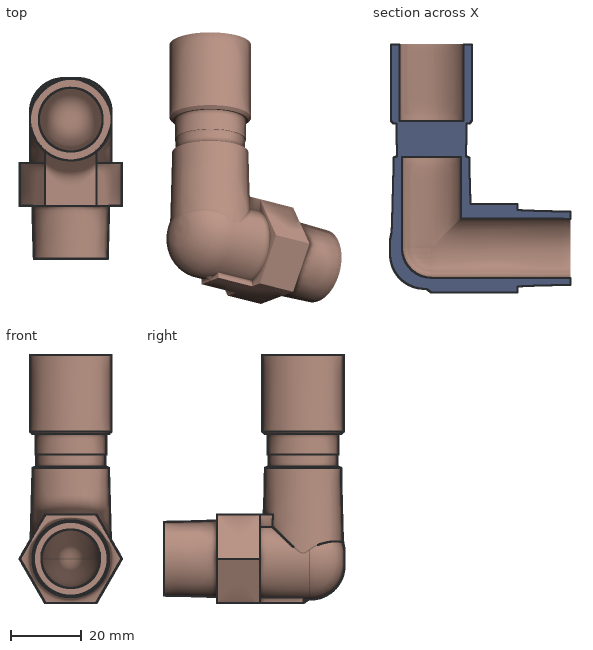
import cadquery as cq
import math

hex_corner_width = 28.85
hex_half_flats = hex_corner_width / 2 * math.cos(math.pi / 6)
hex_flat_width = hex_corner_width / 2
total_height = 70.0
total_depth = 51.0
top_z = total_height - hex_half_flats

collar_radius = 23.0 / 2
upper_neck_radius = 20.0 / 2
lower_neck_radius = 19.5 / 2
shoulder_radius = 10.8
leg_base_radius = 11.5
collar_length = 21.55
collar_bevel = 0.85
upper_neck_length = 5.75
lower_neck_length = 3.35
shoulder_slope_height = 0.4

collar_bottom_z = top_z - collar_length
bevel_bottom_z = collar_bottom_z - collar_bevel
neck_step_z = bevel_bottom_z - upper_neck_length
neck_bottom_z = neck_step_z - lower_neck_length
shoulder_z = neck_bottom_z - shoulder_slope_height

body_radius = 11.55
back_y = 11.75
dome_fillet = 9.95
front_y = back_y - total_depth
hex_back_y = -12.2
hex_length = 12.1
hex_front_y = hex_back_y - hex_length
stub_root_radius = 10.85
stub_tip_radius = 10.4

lower_pad_width = 7.55
lower_pad_back_y = 0.15
lower_nose_radius = 1.8
lower_nose_height = 1.3

socket_radius = 18.0 / 2
passage_radius = 16.5 / 2


def make_upright_leg():
    """Stepped collar, neck and slightly tapered leg, revolved about Z."""
    profile = [
        (0, top_z),
        (collar_radius, top_z),
        (collar_radius, collar_bottom_z),
        (collar_radius - collar_bevel, bevel_bottom_z),
        (upper_neck_radius, bevel_bottom_z),
        (upper_neck_radius, neck_step_z),
        (lower_neck_radius, neck_step_z),
        (lower_neck_radius, neck_bottom_z),
        (shoulder_radius, shoulder_z),
        (leg_base_radius, 0),
        (0, 0),
    ]
    return cq.Workplane("XZ").polyline(profile).close().revolve(360, (0, 0), (0, 1))


def make_body():
    """Horizontal barrel with a broadly rounded back end."""
    barrel = cq.Workplane("XZ", origin=(0, back_y, 0)).circle(body_radius).extrude(back_y - hex_back_y)
    return barrel.faces(">Y").edges().fillet(dome_fillet)


def make_hexagon():
    plane = cq.Workplane("XZ", origin=(0, hex_back_y, 0))
    return plane.polygon(6, hex_corner_width).extrude(hex_length)


def make_stub():
    """Tapered thread blank, revolved about Y."""
    profile = [
        (0, hex_front_y),
        (stub_root_radius, hex_front_y),
        (stub_tip_radius, front_y),
        (0, front_y),
    ]
    return cq.Workplane("XY").polyline(profile).close().revolve(360, (0, 0), (0, 1))


def make_upper_pad():
    """Carries the top hexagon flat back into the upright leg."""
    plane = cq.Workplane("XY").center(0, hex_back_y / 2)
    return plane.rect(hex_flat_width, -hex_back_y).extrude(hex_half_flats)


def make_lower_pad():
    """Carries the bottom hexagon flat back, ending in a conical nose that fades into the barrel."""
    pad_length = lower_pad_back_y - hex_back_y
    plane = cq.Workplane("XY").center(0, hex_back_y + pad_length / 2)
    pad = plane.rect(lower_pad_width, pad_length).extrude(-hex_half_flats)
    nose_profile = [
        (0, -hex_half_flats),
        (lower_nose_radius, lower_nose_height - hex_half_flats),
        (0, lower_nose_height - hex_half_flats),
    ]
    nose_plane = cq.Workplane("XZ", origin=(0, lower_pad_back_y, 0))
    nose = nose_plane.polyline(nose_profile).close().revolve(360, (0, 0), (0, 1))
    return pad.union(nose)


def make_socket():
    """Flat-bottomed socket as deep as the collar."""
    return cq.Workplane("XY", origin=(0, 0, collar_bottom_z)).circle(socket_radius).extrude(collar_length)


def make_passage():
    """Elbow passage with a spherical corner, stopping below the neck."""
    upright = cq.Workplane("XY").circle(passage_radius).extrude(shoulder_z)
    level = cq.Workplane("XZ").circle(passage_radius).extrude(-front_y)
    corner = cq.Workplane("XY").sphere(passage_radius)
    return upright.union(level).union(corner)


result = (
    make_upright_leg()
    .union(make_body())
    .union(make_hexagon())
    .union(make_stub())
    .union(make_upper_pad())
    .union(make_lower_pad())
    .cut(make_socket())
    .cut(make_passage())
)